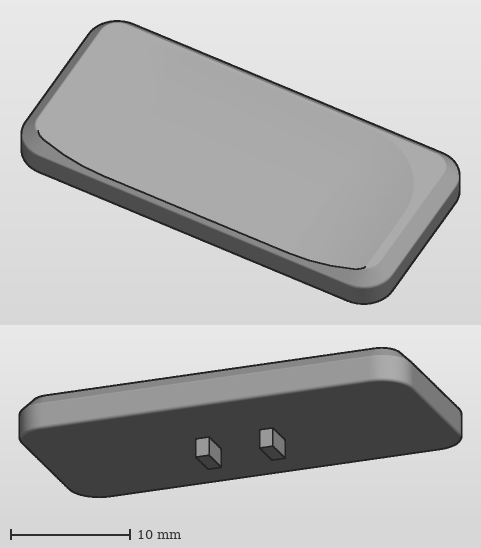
import cadquery as cq
import math

length = 35.1
width = 16.55
total_height = 5.12
leg_height = 1.65
plate_height = total_height - leg_height
corner_radius = 2.77
bevel = 1.2
edge_radius = 0.28

dish_depth = 0.8
dish_floor_length = 17.7
dish_run = 6.77

leg_length = 1.2
leg_width = 2.9
leg_spacing = 5.72


def make_plate():
    """Rounded rectangle with a bevelled top, every bevel border softened."""
    tangent_length = edge_radius * math.tan(math.pi / 8)
    border_z = plate_height - bevel
    plate = (
        cq.Workplane("XY")
        .box(length, width, plate_height, centered=(True, True, False))
        .edges("|Z").fillet(corner_radius)
        .faces(">Z").chamfer(bevel)
    )
    border = cq.selectors.BoxSelector(
        (-length, -width, border_z - tangent_length),
        (length, width, border_z + tangent_length),
    )
    plate = plate.edges(border).fillet(edge_radius)
    return plate.faces(">Z").edges().fillet(edge_radius).faces("<Z").edges().fillet(edge_radius)


def dish_profile(plane):
    """Half section of the dish: an arc level at the floor and rising to the rim."""
    arc_radius = (dish_run**2 + dish_depth**2) / (2 * dish_depth)
    half_angle = math.asin(dish_run / arc_radius) / 2
    arc_middle = (
        arc_radius * math.sin(half_angle),
        arc_radius * (1 - math.cos(half_angle)) - dish_depth,
    )
    return (
        cq.Workplane(plane)
        .moveTo(0, 0)
        .lineTo(0, -dish_depth)
        .threePointArc(arc_middle, (dish_run, 0))
        .close()
    )


def make_dish():
    """Flat floor with curved back and ends, and rounded back corners."""
    half_floor = dish_floor_length / 2
    back_plane = cq.Plane((-half_floor, 0, plate_height), xDir=(0, 1, 0), normal=(1, 0, 0))
    dish = dish_profile(back_plane).extrude(dish_floor_length)
    floor = (
        cq.Workplane("XY", origin=(0, 0, plate_height - dish_depth))
        .box(dish_floor_length, width / 2, dish_depth, centered=(True, False, False))
        .translate((0, -width / 2, 0))
    )
    dish = dish.union(floor)
    end_plane = cq.Plane((half_floor, 0, plate_height), xDir=(1, 0, 0), normal=(0, -1, 0))
    right_end = dish_profile(end_plane).extrude(width / 2)
    right_corner = dish_profile(end_plane).revolve(90, (0, 0, 0), (0, 1, 0))
    for piece in (right_end, right_corner):
        dish = dish.union(piece).union(piece.mirror("YZ"))
    return dish


def make_legs():
    return (
        cq.Workplane("XY")
        .pushPoints([(-leg_spacing / 2, 0), (leg_spacing / 2, 0)])
        .rect(leg_length, leg_width)
        .extrude(-leg_height)
    )


result = make_plate().cut(make_dish()).union(make_legs())